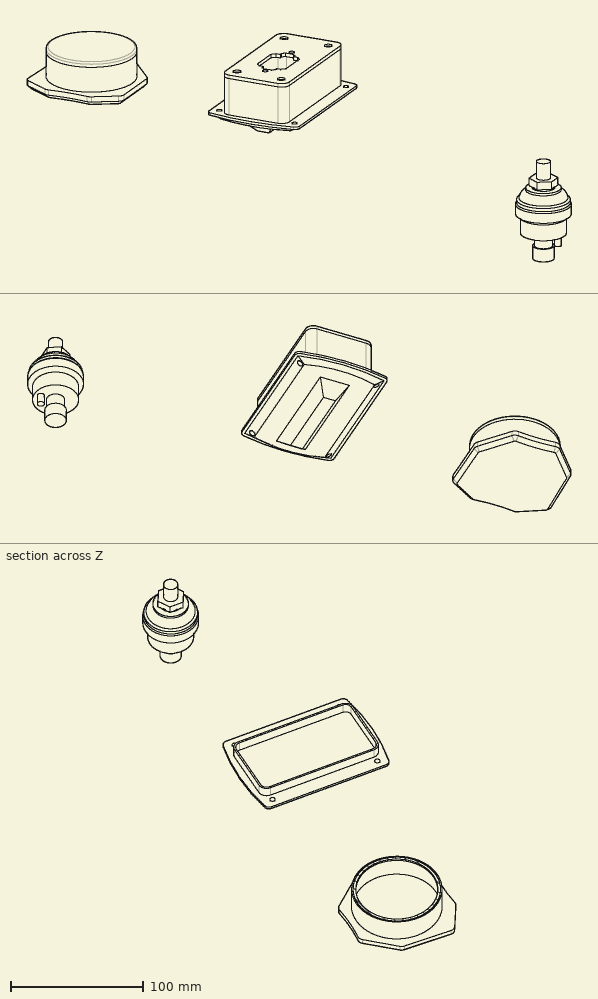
import cadquery as cq
import math

AXIS_OFFSET_Y = 5.5
GAUGE_X = -163.7
VALVE_X = 216.89
TOP_Z = 63.86
BOTTOM_Z = -TOP_Z

GAUGE_RADIUS = 34.4
GAUGE_WALL = 1.5
GAUGE_TOP_Z = 45.0
CAP_THICKNESS = 4.0
CAP_EDGE_RADIUS = 1.5
CAP_LIP_DEPTH = 2.7
CAP_LIP_WALL = 2.0
FLANGE_TOP_Z = 21.0
FLANGE_THICKNESS = 7.4
FLANGE_BEVEL = 3.2
FLANGE_CORNER_RADIUS = 5.0
FLANGE_EDGE_X = 39.8
FLANGE_EDGE_Y = 41.0
FLANGE_FOOT_X = -41.5
FLANGE_LOBE_X = 18.0
FLANGE_HOLLOW = 1.2
FLANGE_BACK_CORNER_Y = 15.5
FLANGE_FRONT_CORNER_Y = -28.0

CASE_LENGTH_X = 54.0
CASE_LENGTH_Y = 100.6
CASE_CORNER_RADIUS = 6.5
CASE_WALL = 1.8
LID_THICKNESS = 2.8
LID_LIP_DEPTH = 2.7
LID_LIP_WALL = 1.5
LID_SCREW_X = 18.6
LID_SCREW_Y = 40.5
LID_SCREW_HEAD_DIAMETER = 6.0
LID_SCREW_HEAD_DEPTH = 1.5
LID_SCREW_HOLE_DIAMETER = 2.4

PLATE_LENGTH_X = 76.3
PLATE_LENGTH_Y = 112.31
PLATE_END_BULGE = 4.3
PLATE_CORNER_RADIUS = 4.0
PLATE_TOP_Z = 31.7
PLATE_THICKNESS = 2.0
PLATE_TAPER_DEPTH = 4.0
PLATE_LEDGE = 2.5
PLATE_TAPER_INSET_X = 9.0
PLATE_TAPER_INSET_Y = 5.5
PLATE_HOLE_X = 31.7
PLATE_HOLE_Y = 44.4
PLATE_HOLE_DIAMETER = 4.0

KEEL_DEPTH = 10.0
KEEL_HALF_WIDTH_TOP = 12.0
KEEL_HALF_WIDTH_BOTTOM = 5.0
KEEL_FRONT_Y = -43.5
KEEL_BACK_Y = 38.0
KEEL_END_SLOPE = 10.0

SOCKET_Y = -7.3
SOCKET_HALF_WIDTH = 12.0
SOCKET_HALF_HEIGHT = 14.5
SOCKET_CORNER = 3.0
SOCKET_TAB_HALF_WIDTH = 5.5
SOCKET_TAB_HALF_HEIGHT = 18.9
SOCKET_TAB_CORNER = 2.0
SOCKET_SCREW_SPACING = 45.6
SOCKET_SCREW_DIAMETER = 4.0

SPINDLE_TOP_Z = 14.4
SPINDLE_RADIUS = 5.4
SPINDLE_LOWER_RADIUS = 6.9
SPINDLE_FOOT_RADIUS = 8.2
SPINDLE_FOOT_TOP_Z = -53.6

NUT_TOP_Z = 1.1
NUT_BOTTOM_Z = -5.0
NUT_ACROSS_FLATS = 19.0

NECK_RADIUS = 8.6
DOME_TOP_Z = -6.7
DOME_SHOULDER_Z = -8.5
DOME_TOP_RADIUS = 13.5
DOME_BASE_RADIUS = 18.6
RING_TOP_Z = -14.9
RING_RADIUS = 20.4
RIM_TOP_Z = -18.7
RIM_RADIUS = 21.2
RIM_BOTTOM_Z = -27.8
STEP_SLOPE_HEIGHT = 1.3
BARREL_TOP_Z = -30.5
BARREL_RADIUS = 17.5
BARREL_BOTTOM_Z = -43.3
DOME_BULGE = 0.8

PEG_OFFSET_X = 12.2
PEG_RADIUS = 2.7
PEG_BOTTOM_Z = -51.5


def cylinder(radius, bottom, top):
    return cq.Workplane("XY").workplane(offset=bottom).circle(radius).extrude(top - bottom)


def flange_outline(plane):
    """Rounded eight-sided outline with hollow front and back edges."""
    hollow_y = FLANGE_EDGE_Y - FLANGE_HOLLOW
    return (
        plane.moveTo(FLANGE_LOBE_X, -FLANGE_EDGE_Y)
        .lineTo(FLANGE_EDGE_X, FLANGE_FRONT_CORNER_Y)
        .lineTo(FLANGE_EDGE_X, FLANGE_BACK_CORNER_Y)
        .lineTo(FLANGE_LOBE_X, FLANGE_EDGE_Y)
        .threePointArc((0, hollow_y), (-FLANGE_LOBE_X, FLANGE_EDGE_Y))
        .lineTo(-FLANGE_EDGE_X, FLANGE_BACK_CORNER_Y)
        .lineTo(FLANGE_FOOT_X, FLANGE_FRONT_CORNER_Y)
        .lineTo(-FLANGE_LOBE_X, -FLANGE_EDGE_Y)
        .threePointArc((0, -hollow_y), (FLANGE_LOBE_X, -FLANGE_EDGE_Y))
        .close()
    )


seam_z = GAUGE_TOP_Z - CAP_THICKNESS
flange_bottom_z = FLANGE_TOP_Z - FLANGE_THICKNESS


def make_gauge_body():
    underside = cq.Workplane("XY").workplane(offset=flange_bottom_z)
    flange = flange_outline(underside).extrude(FLANGE_THICKNESS)
    flange = flange.edges("|Z").fillet(FLANGE_CORNER_RADIUS)
    flange = flange.faces("<Z").edges().chamfer(FLANGE_BEVEL)
    shell = cylinder(GAUGE_RADIUS, FLANGE_TOP_Z, seam_z)
    cavity = cylinder(GAUGE_RADIUS - GAUGE_WALL, FLANGE_TOP_Z, seam_z)
    return flange.union(shell).cut(cavity)


def make_gauge_cap():
    lip_radius = GAUGE_RADIUS - GAUGE_WALL
    lip_bottom = seam_z - CAP_LIP_DEPTH
    disc = cylinder(GAUGE_RADIUS, seam_z, GAUGE_TOP_Z).faces(">Z").edges().fillet(CAP_EDGE_RADIUS)
    lip = cylinder(lip_radius, lip_bottom, seam_z)
    return disc.union(lip).cut(cylinder(lip_radius - CAP_LIP_WALL, lip_bottom, seam_z))


def rounded_block(inset, bottom, top):
    """Block following the case walls, moved in by `inset`."""
    return (
        cq.Workplane("XY").workplane(offset=bottom)
        .rect(CASE_LENGTH_X - 2 * inset, CASE_LENGTH_Y - 2 * inset)
        .extrude(top - bottom)
        .edges("|Z").fillet(CASE_CORNER_RADIUS - inset)
    )


lid_seam_z = TOP_Z - LID_THICKNESS
plate_taper_z = PLATE_TOP_Z - PLATE_THICKNESS


def plate_outline(inset_x, inset_y, bottom):
    """Rectangle with bowed ends, moved in from the plate edge."""
    half_x = PLATE_LENGTH_X / 2 - inset_x
    half_y = PLATE_LENGTH_Y / 2 - inset_y
    corner_y = half_y - PLATE_END_BULGE
    return (
        cq.Workplane("XY").workplane(offset=bottom)
        .moveTo(-half_x, -corner_y)
        .threePointArc((0, -half_y), (half_x, -corner_y))
        .lineTo(half_x, corner_y)
        .threePointArc((0, half_y), (-half_x, corner_y))
        .close()
    )


def make_plate():
    """Flat plate with a tapered underside, all within the plate's rounded outline."""
    depth = PLATE_THICKNESS + PLATE_TAPER_DEPTH
    bottom_z = PLATE_TOP_Z - depth
    prism = plate_outline(0, 0, bottom_z).extrude(depth).edges("|Z").fillet(PLATE_CORNER_RADIUS)
    slab = plate_outline(0, 0, plate_taper_z).extrude(PLATE_THICKNESS)
    wide_wire = plate_outline(PLATE_LEDGE, PLATE_LEDGE, plate_taper_z).val()
    narrow_wire = plate_outline(PLATE_TAPER_INSET_X, PLATE_TAPER_INSET_Y, bottom_z).val()
    taper = cq.Workplane("XY").newObject([cq.Solid.makeLoft([narrow_wire, wide_wire], True)])
    return slab.union(taper).intersect(prism)


def make_keel():
    """Tapered block under the plate."""
    top_z = plate_taper_z - PLATE_TAPER_DEPTH
    length = KEEL_BACK_Y - KEEL_FRONT_Y
    middle_y = (KEEL_BACK_Y + KEEL_FRONT_Y) / 2
    return (
        cq.Workplane("XY", origin=(0, middle_y, top_z))
        .rect(2 * KEEL_HALF_WIDTH_TOP, length)
        .workplane(offset=-KEEL_DEPTH)
        .rect(2 * KEEL_HALF_WIDTH_BOTTOM, length - 2 * KEEL_END_SLOPE)
        .loft(ruled=True)
    )


def make_case():
    case = make_plate().union(make_keel()).union(rounded_block(0, PLATE_TOP_Z, lid_seam_z))
    case = case.cut(rounded_block(CASE_WALL, PLATE_TOP_Z, lid_seam_z))
    plate_holes = (
        cq.Workplane("XY").workplane(offset=PLATE_TOP_Z)
        .rect(2 * PLATE_HOLE_X, 2 * PLATE_HOLE_Y, forConstruction=True)
        .vertices().circle(PLATE_HOLE_DIAMETER / 2).extrude(-PLATE_THICKNESS - PLATE_TAPER_DEPTH)
    )
    return case.cut(plate_holes)


def make_socket_opening():
    """Cornered opening with a tab at each end and a screw hole beyond each tab."""
    depth = LID_THICKNESS + LID_LIP_DEPTH
    plane = cq.Workplane("XY", origin=(0, SOCKET_Y, TOP_Z - depth))
    body = plane.rect(2 * SOCKET_HALF_WIDTH, 2 * SOCKET_HALF_HEIGHT).extrude(depth)
    body = body.edges("|Z").chamfer(SOCKET_CORNER)
    tabs = plane.rect(2 * SOCKET_TAB_HALF_WIDTH, 2 * SOCKET_TAB_HALF_HEIGHT).extrude(depth)
    tabs = tabs.edges("|Z").chamfer(SOCKET_TAB_CORNER)
    screws = plane.rarray(1, SOCKET_SCREW_SPACING, 1, 2).circle(SOCKET_SCREW_DIAMETER / 2).extrude(depth)
    return body.union(tabs).union(screws)


def make_lid():
    lip_bottom = lid_seam_z - LID_LIP_DEPTH
    lid = rounded_block(0, lid_seam_z, TOP_Z)
    lip = rounded_block(CASE_WALL, lip_bottom, lid_seam_z)
    lip = lip.cut(rounded_block(CASE_WALL + LID_LIP_WALL, lip_bottom, lid_seam_z))
    lid = lid.union(lip).cut(make_socket_opening())
    return (
        lid.faces(">Z").workplane(origin=(0, 0, TOP_Z))
        .rect(2 * LID_SCREW_X, 2 * LID_SCREW_Y, forConstruction=True)
        .vertices().cboreHole(LID_SCREW_HOLE_DIAMETER, LID_SCREW_HEAD_DIAMETER, LID_SCREW_HEAD_DEPTH)
    )


def make_spindle():
    spindle = cylinder(SPINDLE_RADIUS, BARREL_BOTTOM_Z, SPINDLE_TOP_Z)
    spindle = spindle.union(cylinder(SPINDLE_LOWER_RADIUS, SPINDLE_FOOT_TOP_Z, BARREL_BOTTOM_Z))
    return spindle.union(cylinder(SPINDLE_FOOT_RADIUS, BOTTOM_Z, SPINDLE_FOOT_TOP_Z))


def make_nut():
    corner_diameter = NUT_ACROSS_FLATS / math.cos(math.pi / 6)
    return (
        cq.Workplane("XY").workplane(offset=NUT_BOTTOM_Z)
        .transformed(rotate=(0, 0, 30))
        .polygon(6, corner_diameter)
        .circle(SPINDLE_RADIUS)
        .extrude(NUT_TOP_Z - NUT_BOTTOM_Z)
    )


def make_housing():
    """Revolved half profile, bored for the spindle, with a locating peg underneath."""
    flank_middle = (
        (DOME_TOP_RADIUS + DOME_BASE_RADIUS) / 2 + DOME_BULGE,
        (DOME_SHOULDER_Z + RING_TOP_Z) / 2 + DOME_BULGE,
    )
    housing = (
        cq.Workplane("XZ")
        .moveTo(SPINDLE_RADIUS, BARREL_BOTTOM_Z)
        .lineTo(BARREL_RADIUS, BARREL_BOTTOM_Z)
        .lineTo(BARREL_RADIUS, BARREL_TOP_Z)
        .lineTo(RIM_RADIUS, RIM_BOTTOM_Z)
        .lineTo(RIM_RADIUS, RIM_TOP_Z - STEP_SLOPE_HEIGHT)
        .lineTo(RING_RADIUS, RIM_TOP_Z)
        .lineTo(RING_RADIUS, RING_TOP_Z - STEP_SLOPE_HEIGHT)
        .lineTo(DOME_BASE_RADIUS, RING_TOP_Z)
        .threePointArc(flank_middle, (DOME_TOP_RADIUS, DOME_SHOULDER_Z))
        .lineTo(DOME_TOP_RADIUS, DOME_TOP_Z)
        .lineTo(NECK_RADIUS, DOME_TOP_Z)
        .lineTo(NECK_RADIUS, NUT_BOTTOM_Z)
        .lineTo(SPINDLE_RADIUS, NUT_BOTTOM_Z)
        .close()
        .revolve(360, (0, 0, 0), (0, 1, 0))
    )
    peg = cylinder(PEG_RADIUS, PEG_BOTTOM_Z, BARREL_BOTTOM_Z).translate((PEG_OFFSET_X, 0, 0))
    return housing.union(peg)


gauge_place = (GAUGE_X, AXIS_OFFSET_Y, 0)
valve_place = (VALVE_X, AXIS_OFFSET_Y, 0)

gauge_body = make_gauge_body().translate(gauge_place)
gauge_cap = make_gauge_cap().translate(gauge_place)
case = make_case()
lid = make_lid()
spindle = make_spindle().translate(valve_place)
nut = make_nut().translate(valve_place)
housing = make_housing().translate(valve_place)

result = cq.Compound.makeCompound([
    gauge_body.val(),
    gauge_cap.val(),
    case.val(),
    lid.val(),
    spindle.val(),
    nut.val(),
    housing.val(),
])